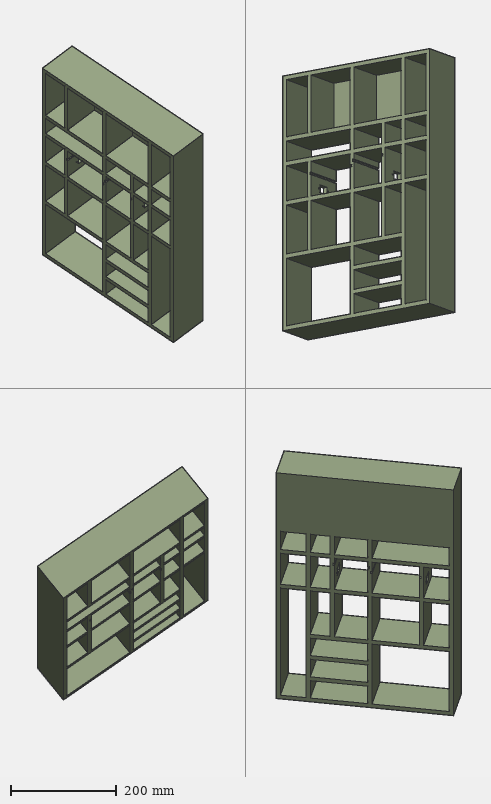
import cadquery as cq

WIDTH = 342.0
DEPTH = 82.0
HEIGHT = 500.0
BOARD = 8.5
BOARDS_ACROSS = 6
BOARDS_UP = 6

OUTER_COLUMN = 49.0
LEFT_BAY = 91.0
CENTRE_BAY = 64.0
NARROW_BAY = WIDTH - 2 * OUTER_COLUMN - LEFT_BAY - CENTRE_BAY - BOARDS_ACROSS * BOARD

DISPLAY_ROW = 112.0
LOW_ROW = 40.0
WINDOW_ROW = 68.5
MIDDLE_ROW = 96.0
BOTTOM_ROW = HEIGHT - DISPLAY_ROW - LOW_ROW - WINDOW_ROW - MIDDLE_ROW - BOARDS_UP * BOARD
DRAWERS = 3
DRAWER_HEIGHT = (BOTTOM_ROW - (DRAWERS - 1) * BOARD) / DRAWERS

BACK_PANEL = 8.0

GROOVE_WIDTH = 4.0
GROOVE_DEPTH = 3.0
LEFT_GROOVE_DROP = 23.5
CENTRE_GROOVE_DROP = 13.5

WINDOW_LENGTH = 22.0
WINDOW_HEIGHT = 15.0
WINDOW_SILL = 13.5
SCREW_HOLE = 2.0
SCREW_SPACING = 30.0

x_outer_left = -WIDTH / 2 + BOARD
x_left_bay = x_outer_left + OUTER_COLUMN + BOARD
x_centre_bay = x_left_bay + LEFT_BAY + BOARD
x_narrow_bay = x_centre_bay + CENTRE_BAY + BOARD
x_outer_right = x_narrow_bay + NARROW_BAY + BOARD

z_bottom = BOARD
z_middle = z_bottom + BOTTOM_ROW + BOARD
z_window_row = z_middle + MIDDLE_ROW + BOARD
z_low = z_window_row + WINDOW_ROW + BOARD
z_display = z_low + LOW_ROW + BOARD

left_column = (x_outer_left, OUTER_COLUMN)
left_bay = (x_left_bay, LEFT_BAY)
centre_bay = (x_centre_bay, CENTRE_BAY)
narrow_bay = (x_narrow_bay, NARROW_BAY)
right_column = (x_outer_right, OUTER_COLUMN)
wide_left = (x_outer_left, OUTER_COLUMN + BOARD + LEFT_BAY)
wide_centre = (x_centre_bay, CENTRE_BAY + BOARD + NARROW_BAY)

display_row = (z_display, DISPLAY_ROW)
low_row = (z_low, LOW_ROW)
window_row = (z_window_row, WINDOW_ROW)
middle_row = (z_middle, MIDDLE_ROW)
bottom_row = (z_bottom, BOTTOM_ROW)
tall_row = (z_bottom, BOTTOM_ROW + BOARD + MIDDLE_ROW)


def compartment(column, row, depth=DEPTH):
    """Box of air in one column and row, reaching back from the front face."""
    x, width = column
    z, height = row
    return cq.Workplane("XY").box(width, depth, height, centered=False).translate((x, -DEPTH / 2, z))


def groove(wall_x, z, direction):
    """Groove cut into a wall face, towards +X (direction 1) or -X (direction -1)."""
    centre_x = wall_x + direction * GROOVE_DEPTH / 2
    return cq.Workplane("XY").box(GROOVE_DEPTH, DEPTH, GROOVE_WIDTH).translate((centre_x, 0, z))


def window_cutout(divider_x):
    """Window and two screw holes through the divider whose left face is at divider_x."""
    centre = (divider_x, 0, z_window_row + WINDOW_SILL + WINDOW_HEIGHT / 2)
    face = cq.Workplane("YZ", origin=centre)
    window = face.rect(WINDOW_LENGTH, WINDOW_HEIGHT).extrude(BOARD)
    holes = face.rarray(SCREW_SPACING, 5, 2, 1).circle(SCREW_HOLE / 2).extrude(BOARD)
    return window.union(holes)


result = cq.Workplane("XY").box(WIDTH, DEPTH, HEIGHT, centered=(True, True, False))

for column in (left_column, left_bay, wide_centre, right_column):
    result = result.cut(compartment(column, display_row, DEPTH - BACK_PANEL))

for column in (wide_left, centre_bay, narrow_bay, right_column):
    result = result.cut(compartment(column, low_row))
for column in (left_column, left_bay, centre_bay, narrow_bay, right_column):
    result = result.cut(compartment(column, window_row))
for column in (left_column, left_bay, centre_bay, narrow_bay):
    result = result.cut(compartment(column, middle_row))
result = result.cut(compartment(wide_left, bottom_row))
result = result.cut(compartment(right_column, tall_row))
for level in range(DRAWERS):
    drawer_floor = z_bottom + level * (DRAWER_HEIGHT + BOARD)
    result = result.cut(compartment(wide_centre, (drawer_floor, DRAWER_HEIGHT)))

z_ceiling = z_window_row + WINDOW_ROW
for (x, width), drop in ((left_bay, LEFT_GROOVE_DROP), (centre_bay, CENTRE_GROOVE_DROP)):
    result = result.cut(groove(x, z_ceiling - drop, -1))
    result = result.cut(groove(x + width, z_ceiling - drop, 1))

for x, width in (left_column, centre_bay):
    result = result.cut(window_cutout(x + width))